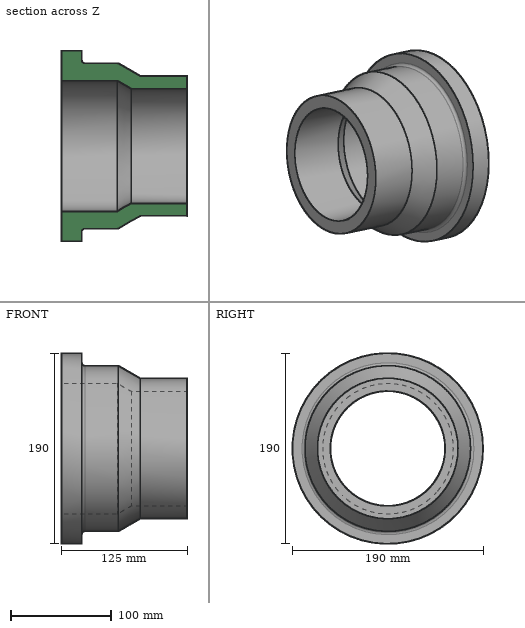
import cadquery as cq
import math

overall_length = 125.0
collar_radius = 95.0
collar_thickness = 20.3
collar_root_fillet = 3.0
hub_radius = 82.5
hub_end = 56.6
spigot_radius = 70.0
large_bore_radius = 65.0
large_bore_depth = 55.5
small_bore_radius = 57.0
taper_angle = 30.0


def taper_length(large_radius, small_radius):
    """Axial length of a cone that joins the two radii at the taper angle."""
    return (large_radius - small_radius) / math.tan(math.radians(taper_angle))


spigot_start = hub_end + taper_length(hub_radius, spigot_radius)
small_bore_start = large_bore_depth + taper_length(large_bore_radius, small_bore_radius)


def wall_section():
    """Half section of the wall, with X along the axis and Y as the radius."""
    fillet_end = collar_thickness + collar_root_fillet
    fillet_top_radius = hub_radius + collar_root_fillet
    return (
        cq.Workplane("XY")
        .moveTo(0, large_bore_radius)
        .lineTo(0, collar_radius)
        .lineTo(collar_thickness, collar_radius)
        .lineTo(collar_thickness, fillet_top_radius)
        .radiusArc((fillet_end, hub_radius), -collar_root_fillet)
        .lineTo(hub_end, hub_radius)
        .lineTo(spigot_start, spigot_radius)
        .lineTo(overall_length, spigot_radius)
        .lineTo(overall_length, small_bore_radius)
        .lineTo(small_bore_start, small_bore_radius)
        .lineTo(large_bore_depth, large_bore_radius)
        .close()
    )


result = wall_section().revolve(360, (0, 0, 0), (1, 0, 0))